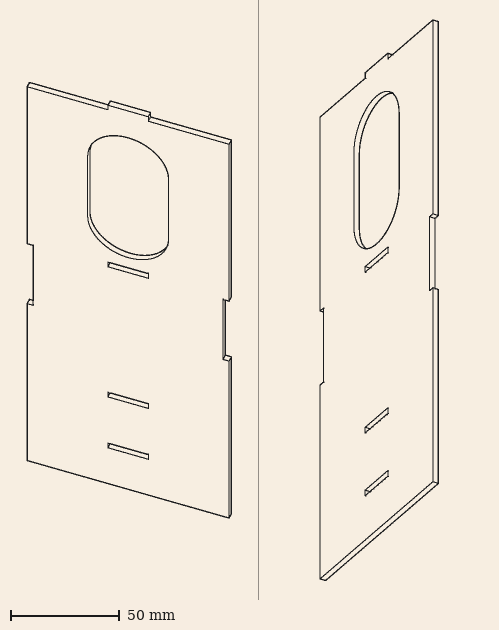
import cadquery as cq

plate_width = 100.0
plate_height = 250.0
thickness = 3.0

tab_width = 20.0
tab_height = thickness
slot_width = tab_width
slot_height = thickness
slot_base_heights = (24.0, 58.0, 145.0)

notch_length = 40.0
notch_depth = thickness

window_width = 40.0
window_height = 80.0
window_center_height = 195.0


def block(width, height, center_x, center_z):
    """Rectangular block as thick as the plate, centred on the given X and Z."""
    return cq.Workplane("XY").box(width, thickness, height).translate((center_x, 0, center_z))


def make_plate():
    """Plain plate with the tab on its upper edge."""
    plate = block(plate_width, plate_height, 0, plate_height / 2)
    tab = block(tab_width, tab_height, 0, plate_height + tab_height / 2)
    return plate.union(tab)


def cut_side_notches(body):
    """Shallow notch at mid height in each side edge."""
    notch_center_x = (plate_width - notch_depth) / 2
    for side in (-1, 1):
        body = body.cut(block(notch_depth, notch_length, side * notch_center_x, plate_height / 2))
    return body


def cut_slots(body):
    """Narrow through slots on the centre line."""
    for base_z in slot_base_heights:
        body = body.cut(block(slot_width, slot_height, 0, base_z + slot_height / 2))
    return body


def cut_window(body):
    """Upright through window with full-round ends."""
    window = (
        cq.Workplane("XZ")
        .center(0, window_center_height)
        .slot2D(window_height, window_width, 90)
        .extrude(thickness, both=True)
    )
    return body.cut(window)


result = cut_window(cut_slots(cut_side_notches(make_plate())))